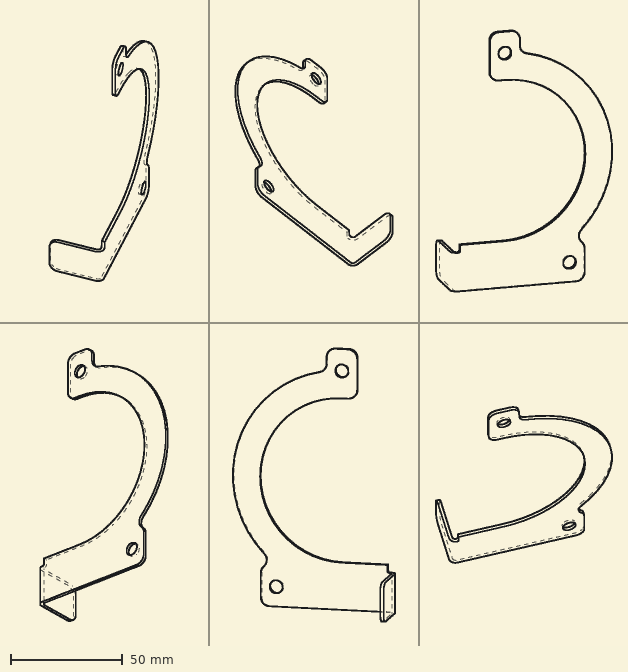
import cadquery as cq
import math

thickness = 1.5
inner_bend_radius = 1.4
outer_bend_radius = inner_bend_radius + thickness

outer_radius = 50.1
inner_radius = 37.6
corner_radius = 4.0

plate_top = 60.1
plate_bottom = plate_top - 119.2
upper_tab_half_width = 7.0
lower_tab_side = 37.2
lower_tab_top = -40.0
arm_end = -21.0

hole_diameter = 6.0
upper_hole = (0.0, outer_radius)
lower_hole = (lower_tab_side - upper_tab_half_width, -outer_radius)

flange_length = 25.0
flange_front = outer_radius - 74.9
flange_top = -41.1
bend_start = flange_front + outer_bend_radius
relief_radius = arm_end - bend_start


def point_toward(start, end, distance):
    """Point at a distance from start along the line to end."""
    scale = distance / math.dist(start, end)
    return (start[0] + scale * (end[0] - start[0]), start[1] + scale * (end[1] - start[1]))


def notch_center(tab_corner):
    """Center of the notch arc that touches both the ring and the lower tab corner."""
    ring_reach = outer_radius + corner_radius
    corner_reach = 2 * corner_radius
    spacing = math.hypot(*tab_corner)
    cosine = (ring_reach**2 + spacing**2 - corner_reach**2) / (2 * ring_reach * spacing)
    angle = math.atan2(tab_corner[1], tab_corner[0]) + math.acos(cosine)
    return (ring_reach * math.cos(angle), ring_reach * math.sin(angle))


def make_plate():
    ring_center = (0.0, 0.0)
    neck_y = upper_tab_half_width + corner_radius
    neck = (neck_y, math.sqrt((outer_radius + corner_radius) ** 2 - neck_y**2))
    neck_on_ring = point_toward(ring_center, neck, outer_radius)
    neck_corner = (upper_tab_half_width, neck_on_ring[1])
    neck_middle = point_toward(neck, neck_corner, corner_radius)

    tab_corner = (lower_tab_side - corner_radius, lower_tab_top - corner_radius)
    notch = notch_center(tab_corner)
    notch_on_ring = point_toward(ring_center, notch, outer_radius)
    notch_on_tab = point_toward(notch, tab_corner, corner_radius)
    notch_middle = (notch[0] - corner_radius, notch[1])
    tab_side_start = (lower_tab_side, tab_corner[1])
    tab_chord_middle = (
        (notch_on_tab[0] + tab_side_start[0]) / 2,
        (notch_on_tab[1] + tab_side_start[1]) / 2,
    )
    tab_corner_middle = point_toward(tab_corner, tab_chord_middle, corner_radius)

    relief_center = (bend_start, flange_top + relief_radius)
    relief_corner = (arm_end, flange_top)
    relief_middle = point_toward(relief_center, relief_corner, relief_radius)

    plate = (
        cq.Workplane("YZ")
        .moveTo(-upper_tab_half_width, inner_radius)
        .lineTo(-upper_tab_half_width, plate_top)
        .lineTo(upper_tab_half_width, plate_top)
        .lineTo(upper_tab_half_width, neck[1])
        .threePointArc(neck_middle, neck_on_ring)
        .threePointArc((outer_radius, 0), notch_on_ring)
        .threePointArc(notch_middle, notch_on_tab)
        .threePointArc(tab_corner_middle, tab_side_start)
        .lineTo(lower_tab_side, plate_bottom)
        .lineTo(bend_start, plate_bottom)
        .lineTo(bend_start, flange_top)
        .threePointArc(relief_middle, (arm_end, relief_center[1]))
        .lineTo(arm_end, -inner_radius)
        .lineTo(0, -inner_radius)
        .threePointArc((inner_radius, 0), (0, inner_radius))
        .close()
        .extrude(-thickness)
    )
    rounded_corners = [
        (-upper_tab_half_width, inner_radius),
        (-upper_tab_half_width, plate_top),
        (upper_tab_half_width, plate_top),
        (lower_tab_side, plate_bottom),
    ]
    for y, z in rounded_corners:
        corner = cq.selectors.NearestToPointSelector((-thickness / 2, y, z))
        plate = plate.edges("|X").edges(corner).fillet(corner_radius)
    holes = (
        cq.Workplane("YZ")
        .pushPoints([upper_hole, lower_hole])
        .circle(hole_diameter / 2)
        .extrude(-thickness)
    )
    return plate.cut(holes)


def make_flange():
    bend_diagonal = math.sqrt(0.5)
    outer_middle = (
        outer_bend_radius * (bend_diagonal - 1),
        bend_start - outer_bend_radius * bend_diagonal,
    )
    inner_middle = (
        -outer_bend_radius + inner_bend_radius * bend_diagonal,
        bend_start - inner_bend_radius * bend_diagonal,
    )
    return (
        cq.Workplane("XY", origin=(0, 0, plate_bottom))
        .moveTo(0, bend_start)
        .threePointArc(outer_middle, (-outer_bend_radius, flange_front))
        .lineTo(-flange_length, flange_front)
        .lineTo(-flange_length, flange_front + thickness)
        .lineTo(-outer_bend_radius, flange_front + thickness)
        .threePointArc(inner_middle, (-thickness, bend_start))
        .close()
        .extrude(flange_top - plate_bottom)
        .edges("|Y and <X")
        .fillet(corner_radius)
    )


result = make_plate().union(make_flange())